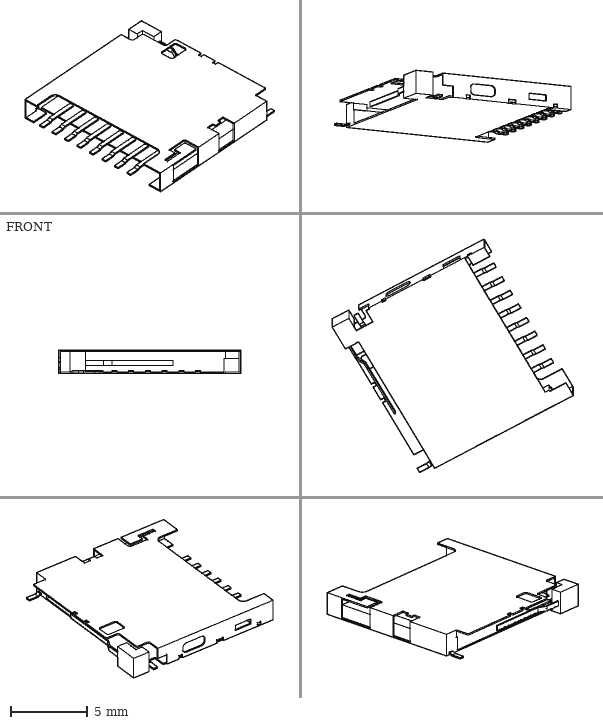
import cadquery as cq


WIDTH = 11.95
DEPTH = 11.45
HEIGHT = 1.55
SHEET = 0.1
ROOF_BOTTOM = HEIGHT - SHEET

EDGE_STEP = 1.0
REAR_STEP_Y = 9.45
FLOOR_REAR_Y = 10.45
ROOF_TONGUE_X = 3.0
CORNER_RADIUS = 0.14
FRONT_CUT_Y = 1.8
FRONT_CUT_RIGHT = 10.45
FRONT_CUT_RADIUS = 0.4

GAP = 0.25
REAR_NOTCH_XS = (5.25, 6.5)
WINDOW_X = (3.25, 4.25)
WINDOW_Y = (9.7, 11.15)
SIDE_OPENING_Y = (5.75, 7.25)
TOOTH_Y = (6.25, 6.75)
FINGER_FRONT_Y = 1.25
FINGER_STEP_Y = 2.25
FINGER_REAR_Y = 3.75
FINGER_NECK_X = WIDTH - 2 * GAP

LEFT_WALL_CUT_Y = 8.7
LEFT_WALL_CUT_TOP = 0.75
RELIEF_TOP = 0.26
RELIEF_YS = ((0.99, 1.27), (4.09, 4.61), (7.45, 7.72))
LATCH_SLOT_Y = (5.59, 7.41)
LATCH_SLOT_Z = (0.31, 1.05)
LATCH_SLOT_RADIUS = 0.3
SMALL_SLOT_Y = (1.83, 3.1)
SMALL_SLOT_Z = (0.41, 0.81)
SMALL_SLOT_RADIUS = 0.1
FLANGE_WIDTH = 0.75
FLANGE_LENGTH = RELIEF_YS[0][1]

FLOOR_FRONT_Y = 1.49
FLOOR_STEP_Y = 8.95

REAR_BLOCK_WIDTH = 1.77
REAR_BLOCK_FRONT_Y = 10.19
REAR_BLOCK_NOTCH_X = FLANGE_WIDTH
REAR_BLOCK_NOTCH_Y = 10.7
RIGHT_BLOCK_X = 10.84
RIGHT_BLOCK_FRONT_Y = 1.22
RIGHT_BLOCK_TOP = 1.0

CONTACT_COUNT = 8
CONTACT_PITCH = 1.1
CONTACT_WIDTH = 0.32
FIRST_CONTACT_X = 1.29
CONTACT_LENGTH = 2.99
FOOT_LENGTH = 0.7
RAMP_LENGTH = 0.2
SIDE_CONTACT_Y = 9.49
SIDE_CONTACT_LENGTH = 2.9
REAR_CONTACT_X = 11.4
REAR_CONTACT_LENGTH = 2.39

SPRING_Z = (0.54, 0.87)
SPRING_START_X = 1.0
SPRING_BEND_X = (2.93, 3.5)
SPRING_END_X = 7.5
SPRING_LEFT_Y = 11.19
SPRING_RIGHT_Y = 10.89


def box(x, y, z):
    """Block spanning the given (low, high) ranges."""
    size = (x[1] - x[0], y[1] - y[0], z[1] - z[0])
    return cq.Workplane("XY").box(*size, centered=False).translate((x[0], y[0], z[0]))


def plate(points, z):
    """Prism with a polygon outline between two heights."""
    return cq.Workplane("XY", origin=(0, 0, z[0])).polyline(points).close().extrude(z[1] - z[0])


def make_roof():
    z = (ROOF_BOTTOM, HEIGHT)
    right_step_x = WIDTH - EDGE_STEP
    roof = plate(
        [
            (0, 0),
            (EDGE_STEP, 0),
            (EDGE_STEP, FRONT_CUT_Y),
            (FRONT_CUT_RIGHT, FRONT_CUT_Y),
            (FRONT_CUT_RIGHT, 0),
            (WIDTH, 0),
            (WIDTH, REAR_STEP_Y),
            (right_step_x, REAR_STEP_Y),
            (right_step_x, DEPTH),
            (ROOF_TONGUE_X, DEPTH),
            (ROOF_TONGUE_X, FLOOR_REAR_Y),
            (EDGE_STEP, FLOOR_REAR_Y),
            (EDGE_STEP, REAR_STEP_Y),
            (0, REAR_STEP_Y),
        ],
        z,
    )

    def round_corners(body, x, y, radius):
        corners = cq.selectors.BoxSelector(
            (x[0] - SHEET, y[0] - SHEET, 0), (x[1] + SHEET, y[1] + SHEET, 2 * HEIGHT)
        )
        return body.edges("|Z").edges(corners).fillet(radius)

    roof = round_corners(roof, (EDGE_STEP, FRONT_CUT_RIGHT), (FRONT_CUT_Y, FRONT_CUT_Y), FRONT_CUT_RADIUS)
    roof = round_corners(roof, (EDGE_STEP, ROOF_TONGUE_X), (REAR_STEP_Y, DEPTH), CORNER_RADIUS)

    for x in REAR_NOTCH_XS:
        roof = roof.cut(box((x, x + GAP), (DEPTH - GAP, DEPTH), z))
    window = box(WINDOW_X, WINDOW_Y, z).edges("|Z").fillet(CORNER_RADIUS)
    tooth = box((right_step_x, right_step_x + GAP), TOOTH_Y, z)
    side_opening = box((right_step_x, WIDTH), SIDE_OPENING_Y, z).cut(tooth)
    return roof.cut(window).cut(side_opening).cut(make_finger_slot(z))


def make_finger_slot(z):
    """Stepped slot that frees the spring finger at the right front."""
    inner_x = WIDTH - EDGE_STEP
    slot = plate(
        [
            (WIDTH, FINGER_REAR_Y),
            (inner_x - GAP, FINGER_REAR_Y),
            (inner_x - GAP, FINGER_STEP_Y),
            (FINGER_NECK_X - GAP, FINGER_STEP_Y),
            (FINGER_NECK_X - GAP, FINGER_FRONT_Y),
            (FINGER_NECK_X, FINGER_FRONT_Y),
            (FINGER_NECK_X, FINGER_STEP_Y + GAP),
            (inner_x, FINGER_STEP_Y + GAP),
            (inner_x, FINGER_REAR_Y - GAP),
            (WIDTH, FINGER_REAR_Y - GAP),
        ],
        z,
    )
    outer_corner = cq.selectors.NearestToPointSelector((inner_x - GAP, FINGER_REAR_Y, z[0]))
    return slot.edges("|Z").edges(outer_corner).fillet(CORNER_RADIUS)


def make_left_wall():
    x = (0, SHEET)
    wall = box(x, (0, REAR_STEP_Y), (0, HEIGHT))
    wall = wall.cut(box(x, (LEFT_WALL_CUT_Y, REAR_STEP_Y), (0, LEFT_WALL_CUT_TOP)))
    for y in RELIEF_YS:
        wall = wall.cut(box(x, y, (0, RELIEF_TOP)))
    latch_slot = box(x, LATCH_SLOT_Y, LATCH_SLOT_Z).edges("|X").fillet(LATCH_SLOT_RADIUS)
    small_slot = box(x, SMALL_SLOT_Y, SMALL_SLOT_Z).edges("|X and >Z").fillet(SMALL_SLOT_RADIUS)
    flange = box((0, FLANGE_WIDTH), (0, FLANGE_LENGTH), (0, SHEET))
    return wall.cut(latch_slot).cut(small_slot).union(flange)


def make_right_wall():
    x = (WIDTH - SHEET, WIDTH)
    wall = box(x, (0, REAR_STEP_Y), (0, HEIGHT))
    for y in (SIDE_OPENING_Y, (FINGER_FRONT_Y, FINGER_REAR_Y)):
        wall = wall.cut(box(x, y, (SHEET, HEIGHT)))
    flange = box((WIDTH - EDGE_STEP, WIDTH), (0, RIGHT_BLOCK_FRONT_Y), (0, SHEET))
    return wall.union(flange)


def make_floor():
    return plate(
        [
            (SHEET, FLOOR_FRONT_Y),
            (WIDTH - SHEET, FLOOR_FRONT_Y),
            (WIDTH - SHEET, FLOOR_REAR_Y),
            (EDGE_STEP, FLOOR_REAR_Y),
            (EDGE_STEP, FLOOR_STEP_Y),
            (SHEET, FLOOR_STEP_Y),
        ],
        (0, SHEET),
    )


def make_rear_block():
    block = box((0, REAR_BLOCK_WIDTH), (REAR_BLOCK_FRONT_Y, DEPTH), (0, HEIGHT))
    notch = box(
        (REAR_BLOCK_NOTCH_X, REAR_BLOCK_WIDTH),
        (REAR_BLOCK_FRONT_Y, REAR_BLOCK_NOTCH_Y),
        (SHEET, HEIGHT),
    )
    return block.cut(notch)


def make_right_block():
    rail = box((RIGHT_BLOCK_X, WIDTH - SHEET), (RIGHT_BLOCK_FRONT_Y, REAR_STEP_Y), (0, RIGHT_BLOCK_TOP))
    rail_end = box((RIGHT_BLOCK_X, WIDTH), (REAR_STEP_Y, FLOOR_REAR_Y), (0, RIGHT_BLOCK_TOP))
    corner = box((WIDTH - EDGE_STEP, WIDTH), (REAR_STEP_Y, FLOOR_REAR_Y), (RIGHT_BLOCK_TOP, HEIGHT))
    return rail.union(rail_end).union(corner)


def make_contact(length):
    """Contact along +Y: low foot at Y = 0, a short ramp, then a bar raised by one sheet."""
    ramp_end = FOOT_LENGTH + RAMP_LENGTH
    profile = [
        (0, 0),
        (FOOT_LENGTH, 0),
        (ramp_end, SHEET),
        (length, SHEET),
        (length, 2 * SHEET),
        (ramp_end, 2 * SHEET),
        (FOOT_LENGTH, SHEET),
        (0, SHEET),
    ]
    return cq.Workplane("YZ").polyline(profile).close().extrude(CONTACT_WIDTH)


def make_contacts():
    origin = (0, 0, 0)
    side = make_contact(SIDE_CONTACT_LENGTH).rotate(origin, (0, 0, 1), -90)
    contacts = side.translate((0, SIDE_CONTACT_Y + CONTACT_WIDTH, 0))
    rear = make_contact(REAR_CONTACT_LENGTH).rotate(origin, (0, 0, 1), 180)
    contacts = contacts.union(rear.translate((REAR_CONTACT_X + CONTACT_WIDTH, DEPTH, 0)))
    for i in range(CONTACT_COUNT):
        x = FIRST_CONTACT_X + i * CONTACT_PITCH
        contacts = contacts.union(make_contact(CONTACT_LENGTH).translate((x, 0, 0)))
    return contacts


def make_spring():
    front_face = [
        (SPRING_START_X, SPRING_LEFT_Y),
        (SPRING_BEND_X[0], SPRING_LEFT_Y),
        (SPRING_BEND_X[1], SPRING_RIGHT_Y),
        (SPRING_END_X, SPRING_RIGHT_Y),
    ]
    rear_face = [(x, y + SHEET) for x, y in reversed(front_face)]
    return plate(front_face + rear_face, SPRING_Z)


result = make_roof()
for piece in (
    make_left_wall(),
    make_right_wall(),
    make_floor(),
    make_rear_block(),
    make_right_block(),
    make_contacts(),
    make_spring(),
):
    result = result.union(piece)